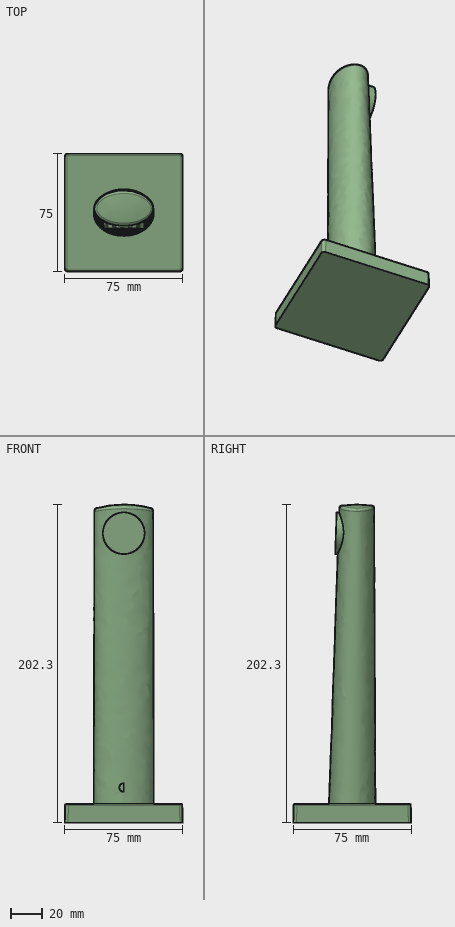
import cadquery as cq
import math

PLATE_SIDE = 75.0
PLATE_HEIGHT = 12.0
PLATE_CORNER_RADIUS = 2.0
PLATE_TOP_FILLET = 1.0
PLATE_DRAFT_ANGLE = 1.0

TOTAL_HEIGHT = 202.25
COLUMN_HALF_WIDTH_BOTTOM = 19.2
COLUMN_HALF_WIDTH_TOP = 18.75
COLUMN_HALF_DEPTH_BOTTOM = 14.9
COLUMN_BACK_TOP = 14.0
COLUMN_FRONT_TOP = -8.2
COLUMN_HALF_DEPTH_TOP = (COLUMN_BACK_TOP - COLUMN_FRONT_TOP) / 2
COLUMN_TOP_Y = (COLUMN_BACK_TOP + COLUMN_FRONT_TOP) / 2

DOME_RADIUS = 65.0
RIM_FILLET = 2.0

BUTTON_DIAMETER = 26.5
BUTTON_Z = 183.9
BUTTON_PROJECTION = 1.6
BUTTON_LENGTH = 9.0

RECESS_RADIUS = 2.8
RECESS_Z = PLATE_HEIGHT + 10.4
RECESS_DEPTH = 0.4

FRONT_RISE = TOTAL_HEIGHT - PLATE_HEIGHT
FRONT_SHIFT = COLUMN_FRONT_TOP + COLUMN_HALF_DEPTH_BOTTOM
FRONT_LEAN = math.atan2(FRONT_SHIFT, FRONT_RISE)


def front_y(z):
    """Y of the foremost line of the column at height z."""
    return -COLUMN_HALF_DEPTH_BOTTOM + FRONT_SHIFT * (z - PLATE_HEIGHT) / FRONT_RISE


def front_plane(z):
    """Plane touching the column front at height z, with its normal pointing outwards."""
    return cq.Plane(
        origin=(0, front_y(z), z),
        xDir=(1, 0, 0),
        normal=(0, -math.cos(FRONT_LEAN), math.sin(FRONT_LEAN)),
    )


def make_plate():
    plate = (
        cq.Workplane("XY")
        .rect(PLATE_SIDE, PLATE_SIDE)
        .extrude(PLATE_HEIGHT, taper=PLATE_DRAFT_ANGLE)
        .edges("not(#Z)")
        .fillet(PLATE_CORNER_RADIUS)
    )
    return plate.faces(">Z").edges().fillet(PLATE_TOP_FILLET)


def make_dome_envelope():
    """Solid of revolution about the column's top centre: a wide cylinder with a spherical top."""
    envelope_radius = PLATE_SIDE / 2
    dome_centre_z = TOTAL_HEIGHT - DOME_RADIUS
    shoulder_z = dome_centre_z + math.sqrt(DOME_RADIUS**2 - envelope_radius**2)
    half_angle = math.asin(envelope_radius / DOME_RADIUS) / 2
    arc_middle = (
        DOME_RADIUS * math.sin(half_angle),
        dome_centre_z + DOME_RADIUS * math.cos(half_angle),
    )
    return (
        cq.Workplane("XZ", origin=(0, COLUMN_TOP_Y, 0))
        .lineTo(envelope_radius, 0)
        .lineTo(envelope_radius, shoulder_z)
        .threePointArc(arc_middle, (0, TOTAL_HEIGHT))
        .close()
        .revolve()
    )


def make_column():
    column = (
        cq.Workplane("XY", origin=(0, 0, PLATE_HEIGHT))
        .ellipse(COLUMN_HALF_WIDTH_BOTTOM, COLUMN_HALF_DEPTH_BOTTOM)
        .workplane(offset=FRONT_RISE)
        .center(0, COLUMN_TOP_Y)
        .ellipse(COLUMN_HALF_WIDTH_TOP, COLUMN_HALF_DEPTH_TOP)
        .loft(ruled=True)
    )
    column = column.intersect(make_dome_envelope())
    return column.faces(">Z").edges().fillet(RIM_FILLET)


def make_button():
    return (
        cq.Workplane(front_plane(BUTTON_Z))
        .workplane(offset=BUTTON_PROJECTION)
        .circle(BUTTON_DIAMETER / 2)
        .extrude(-BUTTON_LENGTH)
    )


def make_recess():
    return (
        cq.Workplane(front_plane(RECESS_Z))
        .workplane(offset=-RECESS_DEPTH)
        .moveTo(0, -RECESS_RADIUS)
        .threePointArc((-RECESS_RADIUS, 0), (0, RECESS_RADIUS))
        .close()
        .extrude(2 * RECESS_DEPTH)
    )


result = make_plate().union(make_column()).union(make_button()).cut(make_recess())